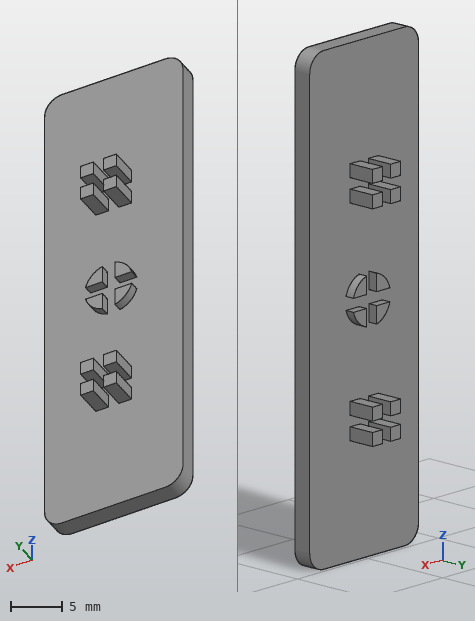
import cadquery as cq

plate_width = 15.5
plate_height = 52.5
plate_thickness = 2.0
corner_radius = 2.0

cluster_size = 4.0
peg_gap = 1.15
peg_length = 3.0
cluster_offset = 12.0

boss_diameter = 5.35
boss_slot = 1.4
boss_length = 1.0

total_depth = plate_thickness + peg_length
front_y = -total_depth / 2
back_y = front_y + plate_thickness


def sketch_plane(y):
    """XZ plane at the given Y, with its normal towards +Y and local y along -Z."""
    return cq.Workplane(cq.Plane(origin=(0, y, 0), xDir=(1, 0, 0), normal=(0, 1, 0)))


def split_in_quadrants(body, slot_width, span, length):
    """Cut a cross slot through a body centred on the Y axis at the back face."""
    for slot_x, slot_z in ((slot_width, span), (span, slot_width)):
        body = body.cut(sketch_plane(back_y).rect(slot_x, slot_z).extrude(length))
    return body


def make_plate():
    plate = sketch_plane(front_y).rect(plate_width, plate_height).extrude(plate_thickness)
    return plate.edges("|Y").fillet(corner_radius)


def make_peg_cluster():
    block = sketch_plane(back_y).rect(cluster_size, cluster_size).extrude(peg_length)
    return split_in_quadrants(block, peg_gap, cluster_size, peg_length)


def make_split_boss():
    disc = sketch_plane(back_y).circle(boss_diameter / 2).extrude(boss_length)
    return split_in_quadrants(disc, boss_slot, boss_diameter, boss_length)


result = make_plate().union(make_split_boss())
for side in (-1, 1):
    result = result.union(make_peg_cluster().translate((0, 0, side * cluster_offset)))